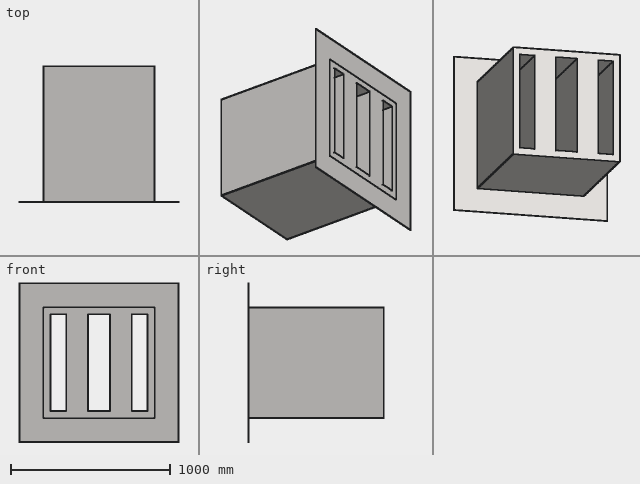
import cadquery as cq

flange_size = 995.0
flange_thickness = 3.0

body_size = 695.0
total_depth = 850.0
corner_notch = 3.0

passage_height = 605.0
centre_passage_width = 137.0
side_passage_width = 97.0


def block(width, height, depth, x_centre=0):
    """Block centred on Z, running from the front plane Y = 0 toward +Y."""
    shape = cq.Workplane("XY").box(width, depth, height, centered=(True, False, True))
    return shape.translate((x_centre, 0, 0))


body = block(body_size, body_size, total_depth)
notch_offset = (body_size - corner_notch) / 2
notches = (
    cq.Workplane("XZ", origin=(0, flange_thickness, 0))
    .rect(2 * notch_offset, 2 * notch_offset, forConstruction=True)
    .vertices()
    .rect(corner_notch, corner_notch)
    .extrude(-(total_depth - flange_thickness))
)
body = body.cut(notches)

side_passage_x = (passage_height - side_passage_width) / 2
body = body.cut(block(centre_passage_width, passage_height, total_depth))
for side in (-1, 1):
    body = body.cut(block(side_passage_width, passage_height, total_depth, side * side_passage_x))

flange = block(flange_size, flange_size, flange_thickness)
flange = flange.cut(block(body_size, body_size, flange_thickness))

result = flange.union(body, clean=False)